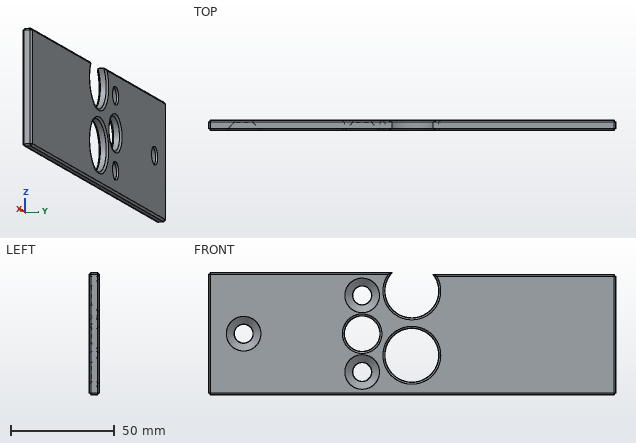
import cadquery as cq

length = 196.5
thickness = 5.0
height = 59.0
right_step = 1.0
edge_chamfer = 1.0

large_diameter = 26.0
large_x = -0.2
large_upper_z = 20.6
large_pitch = 31.0

column_x = -24.2
middle_diameter = 17.0
screw_diameter = 9.0
countersink_diameter = 16.7
countersink_angle = 90
screw_offset_z = 18.5
end_screw_x = -81.4


def plate_portion(portion_height, x_start, x_end):
    """Part of a fully chamfered plate lying between two X positions, with its bottom edge fixed."""
    full_plate = (
        cq.Workplane("XY")
        .box(length, thickness, portion_height)
        .edges()
        .chamfer(edge_chamfer)
        .translate((0, 0, (portion_height - height) / 2))
    )
    span = (
        cq.Workplane("XY")
        .box(x_end - x_start, thickness, height)
        .translate(((x_start + x_end) / 2, 0, 0))
    )
    return full_plate.intersect(span)


def chamfered_hole_cutter(diameter, x, z):
    """Solid that cuts a through hole with a chamfer on the front and back rims."""
    radius = diameter / 2
    rim_radius = radius + edge_chamfer
    half = thickness / 2
    straight_half = half - edge_chamfer
    profile = [
        (0, -half),
        (rim_radius, -half),
        (radius, -straight_half),
        (radius, straight_half),
        (rim_radius, half),
        (0, half),
    ]
    cutter = cq.Workplane("XY").polyline(profile).close().revolve(360, (0, 0, 0), (0, 1, 0))
    return cutter.translate((x, 0, z))


plate = plate_portion(height, -length / 2, large_x).union(
    plate_portion(height - right_step, large_x, length / 2)
)

plain_holes = [
    (large_diameter, large_x, large_upper_z),
    (large_diameter, large_x, large_upper_z - large_pitch),
    (middle_diameter, column_x, 0),
]
for diameter, x, z in plain_holes:
    plate = plate.cut(chamfered_hole_cutter(diameter, x, z))

screw_positions = [
    (column_x, screw_offset_z),
    (column_x, -screw_offset_z),
    (end_screw_x, 0),
]
result = (
    plate.copyWorkplane(cq.Workplane("XZ", origin=(0, -thickness / 2, 0)))
    .pushPoints(screw_positions)
    .cskHole(screw_diameter, countersink_diameter, countersink_angle)
    .solids()
)